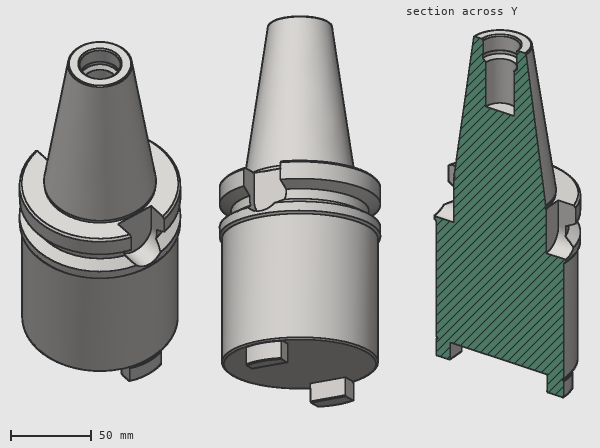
import cadquery as cq
import math

total_height = 234.3
gauge_height = 131.7
flange_top = 129.5
groove_top = 117.2
groove_neck_top = 113.0
groove_neck_bottom = 106.4
groove_bottom = 102.2
flange_bottom = 94.7
body_bottom = 12.5

gauge_radius = 35.0
collar_radius = 34.7
flange_radius = 100.0 / 2
neck_radius = 42.9
body_radius = 48.5

taper_slope = 7 / 24 / 2
tip_radius = gauge_radius - taper_slope * (total_height - gauge_height)

tip_chamfer = 0.7
flange_top_chamfer = 1.5
flange_bottom_chamfer = flange_radius - body_radius
body_chamfer = 1.2
collar_undercut = 1.0

bore_radius = 12.7
bore_chamfer = 1.0
bore_depth = 10.8
relief_radius = 13.0
relief_depth = 13.4
pilot_radius = 10.5
pilot_depth = 46.9

slot_width = 26.0
slot_floor_x = 35.1
slot_bottom = 98.2

key_width = 24.8
key_outer_x = body_radius
key_face_radius = 36.3
key_chamfer = 0.7
key_inner_x = {1: 37.7, -1: 35.5}

SIDES = (1, -1)


def make_holder():
    """Revolve the taper, grooved flange and body about Z."""
    profile = [
        (0, body_bottom),
        (body_radius - body_chamfer, body_bottom),
        (body_radius, body_bottom + body_chamfer),
        (body_radius, flange_bottom),
        (flange_radius, flange_bottom + flange_bottom_chamfer),
        (flange_radius, groove_bottom),
        (neck_radius, groove_neck_bottom),
        (neck_radius, groove_neck_top),
        (flange_radius, groove_top),
        (flange_radius, flange_top - flange_top_chamfer),
        (flange_radius - flange_top_chamfer, flange_top),
        (collar_radius, flange_top),
        (collar_radius, gauge_height - collar_undercut),
        (gauge_radius, gauge_height),
        (tip_radius + taper_slope * tip_chamfer, total_height - tip_chamfer),
        (tip_radius - tip_chamfer, total_height),
        (0, total_height),
    ]
    return cq.Workplane("XZ").polyline(profile).close().revolve(360, (0, 0), (0, 1))


def make_hole():
    """Chamfered bore with a relief groove and a 45-degree step down to the pilot hole."""
    relief_step = relief_radius - bore_radius
    pilot_step = relief_radius - pilot_radius
    radius_and_depth = [
        (0, 0),
        (bore_radius + bore_chamfer, 0),
        (bore_radius, bore_chamfer),
        (bore_radius, bore_depth),
        (relief_radius, bore_depth + relief_step),
        (relief_radius, relief_depth),
        (pilot_radius, relief_depth + pilot_step),
        (pilot_radius, pilot_depth),
        (0, pilot_depth),
    ]
    profile = [(radius, total_height - depth) for radius, depth in radius_and_depth]
    return cq.Workplane("XZ").polyline(profile).close().revolve(360, (0, 0), (0, 1))


def make_slot(side):
    """Round-bottomed slot, open upwards and outwards, with a flat floor facing X."""
    half_width = slot_width / 2
    arc_center = slot_bottom + half_width
    return (
        cq.Workplane("YZ", origin=(side * slot_floor_x, 0, 0))
        .moveTo(-half_width, flange_top)
        .lineTo(-half_width, arc_center)
        .threePointArc((0, slot_bottom), (half_width, arc_center))
        .lineTo(half_width, flange_top)
        .close()
        .extrude(side * flange_radius)
    )


def make_key(side):
    """Key with a rounded outer face, chamfered along the edges of its end and outer top."""
    half_width = key_width / 2
    face_center_x = key_outer_x - key_face_radius
    corner_x = face_center_x + math.sqrt(key_face_radius**2 - half_width**2)
    inner_x = key_inner_x[side]
    key = (
        cq.Workplane("XY")
        .moveTo(side * inner_x, -half_width)
        .lineTo(side * corner_x, -half_width)
        .threePointArc((side * key_outer_x, 0), (side * corner_x, half_width))
        .lineTo(side * inner_x, half_width)
        .close()
        .extrude(body_bottom)
    )
    inner_face = "<X" if side > 0 else ">X"
    key = key.edges("%CIRCLE").chamfer(key_chamfer)
    return key.faces(inner_face).edges("<Z").chamfer(key_chamfer)


result = make_holder().cut(make_hole())
for side in SIDES:
    result = result.cut(make_slot(side))
    result = result.union(make_key(side))